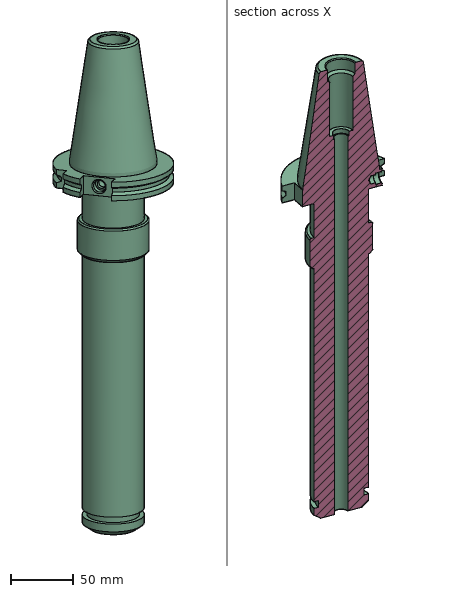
import cadquery as cq
import math

LENGTH = 413.5

TAPER_RATE = 7 / 24
TAPER_LENGTH = 102.0
GAUGE_DIAMETER = 70.5
TAPER_END_CHAMFER = 1.5
GAUGE_Z = LENGTH - TAPER_LENGTH
TAPER_END_DIAMETER = GAUGE_DIAMETER - TAPER_RATE * TAPER_LENGTH

FLANGE_DIAMETER = 97.0
GAUGE_GAP = 3.0
FLANGE_HEIGHT = 15.7
FLANGE_TOP_Z = GAUGE_Z - GAUGE_GAP
FLANGE_BOTTOM_Z = FLANGE_TOP_Z - FLANGE_HEIGHT

GROOVE_WIDTH = 7.0
GROOVE_DEPTH = 3.5
GROOVE_HALF_ANGLE = math.radians(30)
GROOVE_FLOOR_WIDTH = GROOVE_WIDTH - 2 * GROOVE_DEPTH * math.tan(GROOVE_HALF_ANGLE)
GROOVE_Z = GAUGE_Z - 10.8

SLOT_WIDTH = 26.5
FRONT_SLOT_FLOOR = 37.5
BACK_SLOT_FLOOR = 35.5

NOTCH_X = -30.0
NOTCH_Y = -29.5

SCREW_SINK_DIAMETER = 12.0
SCREW_HOLE_DIAMETER = 10.0
SCREW_CORE_DIAMETER = 7.0
SCREW_SINK_DEPTH = (SCREW_SINK_DIAMETER - SCREW_HOLE_DIAMETER) / 2
SCREW_HOLE_DEPTH = 6.0
SCREW_CORE_DEPTH = 10.5
SCREW_TIP_DEPTH = SCREW_CORE_DEPTH + SCREW_CORE_DIAMETER / 2 * math.tan(math.radians(30))
SCREW_HOLE_Z = FLANGE_TOP_Z - FLANGE_HEIGHT / 2

BODY_DIAMETER = 50.0
NECK_FILLET = 1.2
COLLAR_DIAMETER = 58.0
COLLAR_TOP_Z = 262.0
COLLAR_BOTTOM_Z = 233.0
COLLAR_TOP_CHAMFER = 1.2
COLLAR_BOTTOM_CHAMFER = 3.0

RING_GROOVE_DIAMETER = 42.0
RING_GROOVE_TOP_Z = 17.0
RING_GROOVE_BOTTOM_Z = 11.0
NOSE_CHAMFER_HEIGHT = 4.5
NOSE_DIAMETER = 37.5

PASSAGE_DIAMETER = 12.0
SEAT_DIAMETER = 14.0
SEAT_DEPTH = 66.0
THREAD_DIAMETER = 20.5
THREAD_DEPTH = 62.0
MOUTH_DIAMETER = 25.0
MOUTH_DEPTH = 10.5
MOUTH_SHOULDER_DEPTH = MOUTH_DEPTH + (MOUTH_DIAMETER - THREAD_DIAMETER) / 2
MOUTH_CHAMFER = 1.0


def make_body():
    """Revolve the outer outline, from the nose up to the small end of the taper."""
    body_radius = BODY_DIAMETER / 2
    collar_radius = COLLAR_DIAMETER / 2
    gauge_radius = GAUGE_DIAMETER / 2
    flange_radius = FLANGE_DIAMETER / 2
    ring_radius = RING_GROOVE_DIAMETER / 2
    chamfer_z = LENGTH - TAPER_END_CHAMFER
    chamfer_radius = TAPER_END_DIAMETER / 2 + TAPER_RATE / 2 * TAPER_END_CHAMFER
    shaft = [
        (0, 0),
        (NOSE_DIAMETER / 2, 0),
        (body_radius, NOSE_CHAMFER_HEIGHT),
        (body_radius, RING_GROOVE_BOTTOM_Z),
        (ring_radius, RING_GROOVE_BOTTOM_Z),
        (ring_radius, RING_GROOVE_TOP_Z),
        (body_radius, RING_GROOVE_TOP_Z),
        (body_radius, COLLAR_BOTTOM_Z),
        (collar_radius - COLLAR_BOTTOM_CHAMFER, COLLAR_BOTTOM_Z),
        (collar_radius, COLLAR_BOTTOM_Z + COLLAR_BOTTOM_CHAMFER),
        (collar_radius, COLLAR_TOP_Z - COLLAR_TOP_CHAMFER),
        (collar_radius - COLLAR_TOP_CHAMFER, COLLAR_TOP_Z),
        (body_radius, COLLAR_TOP_Z),
        (body_radius, FLANGE_BOTTOM_Z - NECK_FILLET),
    ]
    flange_and_taper = [
        (flange_radius, FLANGE_BOTTOM_Z),
        (flange_radius, GROOVE_Z - GROOVE_WIDTH / 2),
        (flange_radius - GROOVE_DEPTH, GROOVE_Z - GROOVE_FLOOR_WIDTH / 2),
        (flange_radius - GROOVE_DEPTH, GROOVE_Z + GROOVE_FLOOR_WIDTH / 2),
        (flange_radius, GROOVE_Z + GROOVE_WIDTH / 2),
        (flange_radius, FLANGE_TOP_Z),
        (gauge_radius, FLANGE_TOP_Z),
        (gauge_radius, GAUGE_Z),
        (chamfer_radius, chamfer_z),
        (chamfer_radius - TAPER_END_CHAMFER, LENGTH),
        (0, LENGTH),
    ]
    fillet_middle = NECK_FILLET * (1 - math.sqrt(0.5))
    return (
        cq.Workplane("XZ")
        .polyline(shaft)
        .threePointArc(
            (body_radius + fillet_middle, FLANGE_BOTTOM_Z - fillet_middle),
            (body_radius + NECK_FILLET, FLANGE_BOTTOM_Z),
        )
        .polyline(flange_and_taper, includeCurrent=True)
        .close()
        .revolve(360, (0, 0), (0, 1))
    )


def flange_box(x_min, x_max, y_min, y_max):
    """Cutting block that spans the full height of the flange."""
    return (
        cq.Workplane("XY", origin=(x_min, y_min, FLANGE_BOTTOM_Z))
        .rect(x_max - x_min, y_max - y_min, centered=False)
        .extrude(FLANGE_HEIGHT)
    )


def make_flange_cuts():
    """Both drive slots and the orientation notch."""
    half_width = SLOT_WIDTH / 2
    front_slot = flange_box(-half_width, half_width, -FLANGE_DIAMETER, -FRONT_SLOT_FLOOR)
    back_slot = flange_box(-half_width, half_width, BACK_SLOT_FLOOR, FLANGE_DIAMETER)
    notch = flange_box(-FLANGE_DIAMETER, NOTCH_X, -FLANGE_DIAMETER, NOTCH_Y)
    return front_slot.union(back_slot).union(notch)


def make_screw_hole():
    """Countersunk, stepped blind hole with a drill-point end, running inward from the front slot floor."""
    outline = [
        (0, 0),
        (SCREW_SINK_DIAMETER / 2, 0),
        (SCREW_HOLE_DIAMETER / 2, SCREW_SINK_DEPTH),
        (SCREW_HOLE_DIAMETER / 2, SCREW_HOLE_DEPTH),
        (SCREW_CORE_DIAMETER / 2, SCREW_HOLE_DEPTH),
        (SCREW_CORE_DIAMETER / 2, SCREW_CORE_DEPTH),
        (0, SCREW_TIP_DEPTH),
    ]
    cutter = cq.Workplane("XY").polyline(outline).close().revolve(360, (0, 0), (0, 1))
    return cutter.translate((0, -FRONT_SLOT_FLOOR, SCREW_HOLE_Z))


def make_bore():
    """Through passage that widens in steps toward a chamfered mouth at the taper end."""
    passage_radius = PASSAGE_DIAMETER / 2
    seat_radius = SEAT_DIAMETER / 2
    thread_radius = THREAD_DIAMETER / 2
    mouth_radius = MOUTH_DIAMETER / 2
    outline = [
        (0, 0),
        (passage_radius, 0),
        (passage_radius, LENGTH - SEAT_DEPTH),
        (seat_radius, LENGTH - SEAT_DEPTH),
        (seat_radius, LENGTH - THREAD_DEPTH),
        (thread_radius, LENGTH - THREAD_DEPTH),
        (thread_radius, LENGTH - MOUTH_SHOULDER_DEPTH),
        (mouth_radius, LENGTH - MOUTH_DEPTH),
        (mouth_radius, LENGTH - MOUTH_CHAMFER),
        (mouth_radius + MOUTH_CHAMFER, LENGTH),
        (0, LENGTH),
    ]
    return cq.Workplane("XZ").polyline(outline).close().revolve(360, (0, 0), (0, 1))


result = make_body().cut(make_flange_cuts()).cut(make_screw_hole()).cut(make_bore())